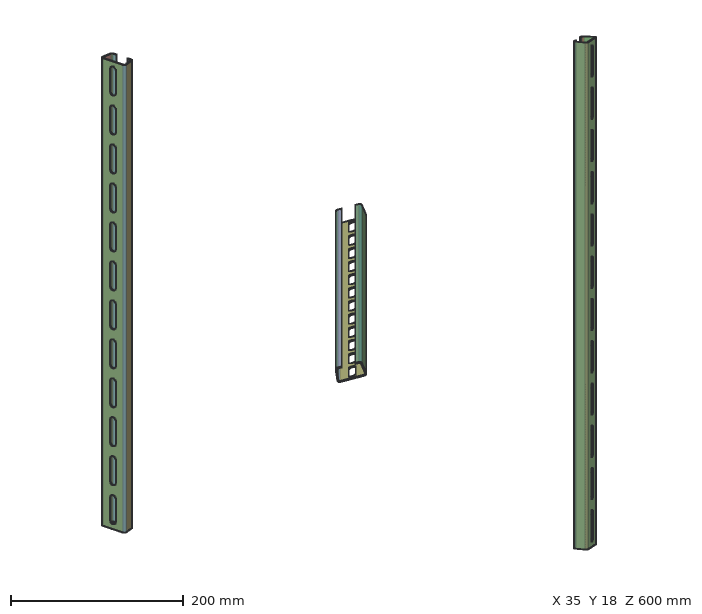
import cadquery as cq
import math

length = 600.0
base_width = 35.0
depth = 18.0
wall = 1.5

side_lean = math.radians(7)
base_bend = 2.8
lip_bend = 3.3
mouth_width = 16.0

slot_count = 12
slot_pitch = length / slot_count
slot_width = 8.5
slot_length = 37.0

base_y = -depth / 2
mouth_y = depth / 2


def rail_bar():
    """Solid bar along Z with sides leaning inward and its four long edges rounded."""
    corner_overhang = base_bend * ((1 + math.sin(side_lean)) / math.cos(side_lean) - 1)
    base_half = base_width / 2 + corner_overhang
    mouth_side_half = base_half - depth * math.tan(side_lean)
    outline = [
        (-base_half, base_y),
        (base_half, base_y),
        (mouth_side_half, mouth_y),
        (-mouth_side_half, mouth_y),
    ]
    bar = cq.Workplane("XY").polyline(outline).close().extrude(length)
    bar = bar.edges("|Z and <Y").fillet(base_bend)
    return bar.edges("|Z and >Y").fillet(lip_bend)


def channel():
    """C-shaped rail of even wall thickness, open at both ends and along the +Y side."""
    tube = rail_bar().faces("<Z or >Z").shell(-wall)
    mouth = cq.Workplane("XY").center(0, mouth_y).rect(mouth_width, depth).extrude(length)
    return tube.cut(mouth)


def base_slots():
    """Row of round-ended cutters, long along Z, crossing the base wall."""
    centres = [(0, slot_pitch * (i + 0.5)) for i in range(slot_count)]
    row = cq.Workplane("XZ", origin=(0, base_y + wall, 0)).pushPoints(centres)
    return row.slot2D(slot_length, slot_width, 90).extrude(wall)


result = channel().cut(base_slots())